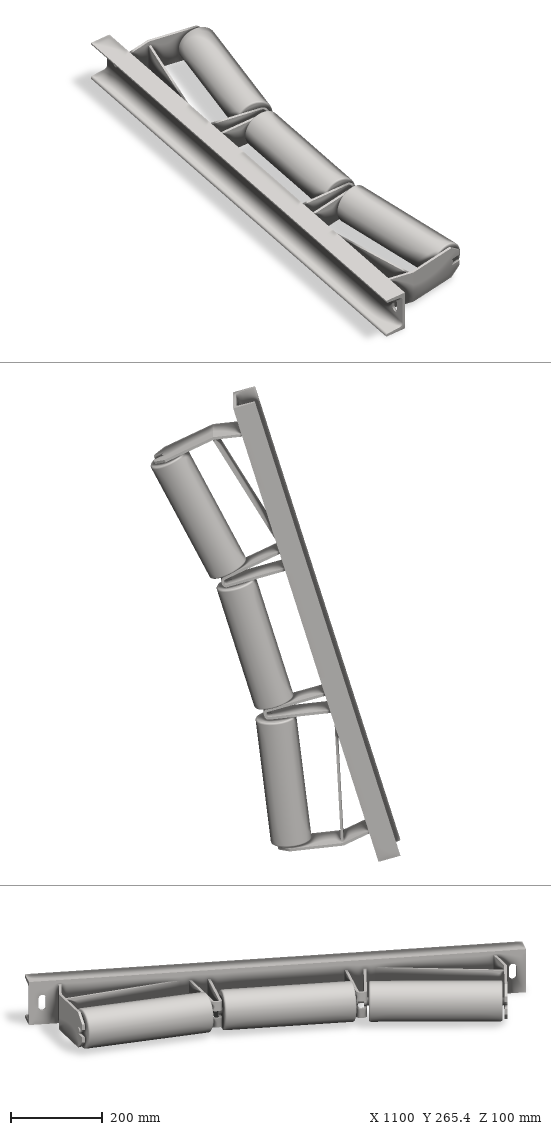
import cadquery as cq
import math

beam_length = 1100.0
beam_height = 100.0
flange_width = 50.0
web_thickness = 6.0
flange_mid_thickness = 8.5
flange_taper = 0.08
root_radius = 8.5
tip_radius = 4.0
mount_slot_spacing = 1041.0
mount_slot_width = 16.0
mount_slot_height = 36.0

roller_length = 290.0
roller_diameter = 89.0
roller_edge_radius = 3.8
trough_angle = 10.0
center_roller_y = 115.0
side_roller_x = 322.0
side_roller_y = 147.0
center_end_gap = 3.0
side_end_gap = 4.0
shaft_radius = 10.0
shaft_flats = 16.0

plate = 6.0
outer_bracket_width = 81.0
inner_bracket_width = 59.0
seat_slot_depth = 13.0
crown_inner_radius = 3.8
crown_y = 143.0
outer_bend_y = 63.0
outer_tip_rise = 30.0
tip_chamfer_along = 25.0
tip_chamfer_across = 20.0
strut_thickness = 5.0
strut_width = 59.0
strut_foot_x = 228.0
strut_head_y = 65.0

tilt_cos = math.cos(math.radians(trough_angle))
tilt_sin = math.sin(math.radians(trough_angle))
tilt_tan = math.tan(math.radians(trough_angle))

center_plate_x = roller_length / 2 + center_end_gap + plate / 2
side_plate_offset = roller_length / 2 + side_end_gap + plate / 2


def place_on_side(shape):
    """Move a shape from the roller's own frame to the right-hand side roller."""
    return shape.rotate((0, 0, 0), (0, 0, 1), trough_angle).translate((side_roller_x, side_roller_y, 0))


def tilted_face_x(offset, y):
    """X at height y on a plane square to the side roller, offset along its axis from its center."""
    return side_roller_x + (offset - (y - side_roller_y) * tilt_sin) / tilt_cos


def place_at_center(shape):
    """Move a shape from the roller's own frame to the center roller."""
    return shape.translate((0, center_roller_y, 0))


def plate_from(outline, width):
    """Extrude an XY outline to a plate centered on Z = 0."""
    return outline.close().extrude(width).translate((0, 0, -width / 2))


def make_beam():
    half_height = beam_height / 2
    slope_reach = (flange_width - web_thickness) - flange_width / 2
    root_z = half_height - flange_mid_thickness - flange_taper * slope_reach
    tip_z = half_height - flange_mid_thickness + flange_taper * flange_width / 2
    beam = (
        cq.Workplane("YZ")
        .moveTo(0, -half_height)
        .lineTo(0, half_height)
        .lineTo(-flange_width, half_height)
        .lineTo(-flange_width, tip_z)
        .lineTo(-web_thickness, root_z)
        .lineTo(-web_thickness, -root_z)
        .lineTo(-flange_width, -tip_z)
        .lineTo(-flange_width, -half_height)
        .close()
        .extrude(beam_length)
        .translate((-beam_length / 2, 0, 0))
    )
    for y, z, radius in ((-web_thickness, root_z, root_radius), (-flange_width, tip_z, tip_radius)):
        for side in (-1, 1):
            edge = cq.selectors.NearestToPointSelector((0, y, side * z))
            beam = beam.edges("|X").edges(edge).fillet(radius)
    mount_slots = (
        cq.Workplane("XZ")
        .pushPoints([(-mount_slot_spacing / 2, 0), (mount_slot_spacing / 2, 0)])
        .slot2D(mount_slot_height, mount_slot_width, 90)
        .extrude(web_thickness)
    )
    return beam.cut(mount_slots)


def round_bar(diameter, length):
    """Cylinder along X, centered on the origin."""
    return cq.Workplane("YZ").circle(diameter / 2).extrude(length).translate((-length / 2, 0, 0))


def make_shaft(length):
    """Round shaft along X with two flats facing +Z and -Z."""
    flats = cq.Workplane("XY").box(length, 2 * shaft_radius, shaft_flats)
    return round_bar(2 * shaft_radius, length).intersect(flats)


def make_roller(end_gap):
    """Drum with its shaft, along X; the shaft ends flush with the outer plate faces."""
    drum = round_bar(roller_diameter, roller_length).faces("<X or >X").edges().fillet(roller_edge_radius)
    return drum.union(make_shaft(roller_length + 2 * (end_gap + plate)))


def make_seat_slots(end_gap):
    """Cutters for the open slots that take both shaft ends of a roller."""
    rise = roller_diameter
    inner_end = roller_length / 2 + end_gap
    length = 2 * (inner_end + seat_slot_depth)
    entry = cq.Workplane("XY").box(length, rise, shaft_flats).translate((0, rise / 2, 0))
    between_plates = cq.Workplane("XY").box(2 * inner_end, 2 * rise, roller_diameter)
    return make_shaft(length).union(entry).cut(between_plates)


def make_outer_bracket():
    """Kinked plate whose upper leg faces the outer end of the side roller."""

    def tip_point(offset):
        return (
            side_roller_x + offset * tilt_cos - outer_tip_rise * tilt_sin,
            side_roller_y + offset * tilt_sin + outer_tip_rise * tilt_cos,
        )

    inner = side_plate_offset - plate / 2
    outer = side_plate_offset + plate / 2
    inner_bend_x = tilted_face_x(inner, outer_bend_y)
    outer_bend_x = tilted_face_x(outer, outer_bend_y)
    lower_lean = outer_bend_y * tilt_tan
    outline = cq.Workplane("XY").polyline([
        (inner_bend_x - lower_lean, 0),
        (outer_bend_x - lower_lean, 0),
        (outer_bend_x, outer_bend_y),
        tip_point(outer),
        tip_point(inner),
        (inner_bend_x, outer_bend_y),
    ])
    bracket = plate_from(outline, outer_bracket_width)

    half_width = outer_bracket_width / 2
    for side in (-1, 1):
        corner = (
            cq.Workplane("YZ")
            .moveTo(outer_tip_rise, side * half_width)
            .lineTo(outer_tip_rise - tip_chamfer_along, side * half_width)
            .lineTo(outer_tip_rise, side * (half_width - tip_chamfer_across))
            .close()
            .extrude(2 * side_plate_offset)
        )
        bracket = bracket.cut(place_on_side(corner))
    return bracket.cut(place_on_side(make_seat_slots(side_end_gap)))


def make_inner_bracket():
    """Folded plate: an upright leg, a flat crown and a leg square to the side roller."""

    def folded_block(inset, corner_radius):
        """Solid under the fold, its sides and top inset from the outer plate faces."""
        upright_x = center_plate_x - plate / 2 + inset
        tilted_offset = plate / 2 - side_plate_offset - inset
        top_y = crown_y - inset
        outline = cq.Workplane("XY").polyline([
            (upright_x, 0),
            (upright_x, top_y),
            (tilted_face_x(tilted_offset, top_y), top_y),
            (tilted_face_x(tilted_offset, 0), 0),
        ])
        block = plate_from(outline, inner_bracket_width)
        return block.faces(">Y").edges("|Z").fillet(corner_radius)

    bracket = folded_block(0, crown_inner_radius + plate).cut(folded_block(plate, crown_inner_radius))
    bracket = bracket.cut(place_at_center(make_seat_slots(center_end_gap)))
    return bracket.cut(place_on_side(make_seat_slots(side_end_gap)))


def make_strut(outer_bracket):
    """Sloping flat from the beam to the kink of the outer bracket."""
    head_x = tilted_face_x(side_plate_offset, strut_head_y)
    slope = math.atan2(strut_head_y, head_x - strut_foot_x)
    half_run = strut_thickness / 2 / math.sin(slope)
    half_rise = strut_thickness / 2 / math.cos(slope)
    outline = cq.Workplane("XY").polyline([
        (strut_foot_x - half_run, 0),
        (strut_foot_x + half_run, 0),
        (head_x, strut_head_y - half_rise),
        (head_x, strut_head_y + half_rise),
    ])
    return plate_from(outline, strut_width).cut(outer_bracket)


beam = make_beam()
center_roller = place_at_center(make_roller(center_end_gap))
side_roller = place_on_side(make_roller(side_end_gap))
outer_bracket = make_outer_bracket()
inner_bracket = make_inner_bracket()
strut = make_strut(outer_bracket)

bodies = [*beam.solids().vals(), *center_roller.solids().vals()]
for part in (side_roller, outer_bracket, inner_bracket, strut):
    bodies += [*part.solids().vals(), *part.mirror("YZ").solids().vals()]

result = cq.Compound.makeCompound(bodies)